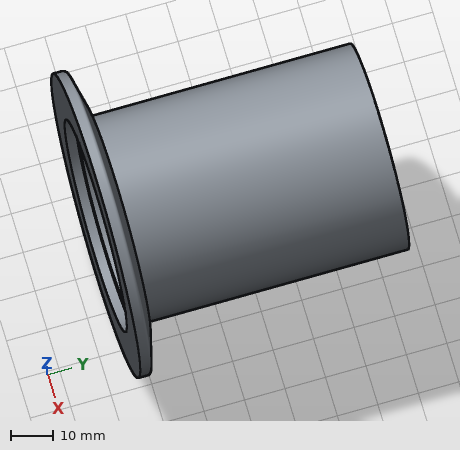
import cadquery as cq
import math

flange_diameter = 75.0
overall_length = 70.0

tube_diameter = 50.8
bore_diameter = 46.65

rim_width = 2.25
corner_radius = 0.75
cone_angle = math.radians(15)
flange_thickness = 5.0

recess_diameter = 52.35
recess_depth = 2.6

flange_radius = flange_diameter / 2
tube_radius = tube_diameter / 2
bore_radius = bore_diameter / 2
recess_radius = recess_diameter / 2

arc_sweep = math.pi / 2 - cone_angle
cone_start_radius = flange_radius - corner_radius * (1 - math.cos(arc_sweep))
cone_start_height = rim_width + corner_radius * math.sin(arc_sweep)
cone_end_radius = cone_start_radius - (flange_thickness - cone_start_height) / math.tan(cone_angle)

section = (
    cq.Workplane("XY")
    .moveTo(recess_radius, 0)
    .lineTo(flange_radius, 0)
    .lineTo(flange_radius, rim_width)
    .tangentArcPoint((cone_start_radius, cone_start_height), relative=False)
    .lineTo(cone_end_radius, flange_thickness)
    .lineTo(tube_radius, flange_thickness)
    .lineTo(tube_radius, overall_length)
    .lineTo(bore_radius, overall_length)
    .lineTo(bore_radius, recess_depth)
    .lineTo(recess_radius, recess_depth)
    .close()
)

result = section.revolve(360, (0, 0, 0), (0, 1, 0))